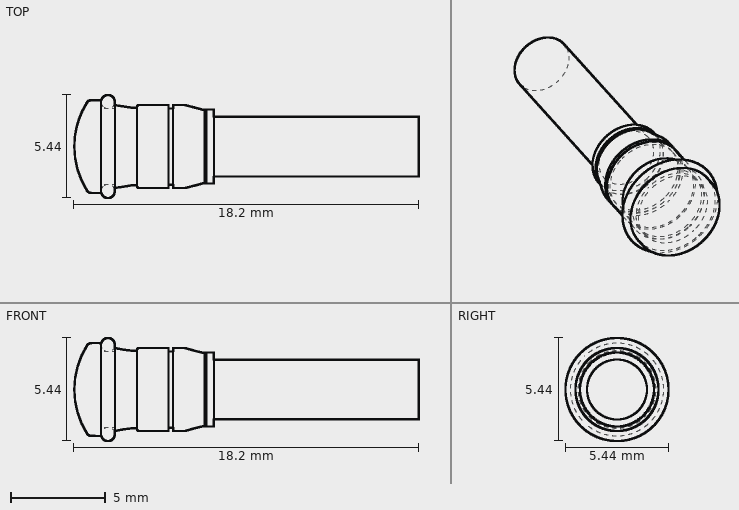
import cadquery as cq
import math

total_length = 18.16

ring_outer_radius = 2.72
ring_wire_radius = 0.36
ring_x = 1.78
ring_pitch_radius = ring_outer_radius - ring_wire_radius

head_radius = 2.45
dome_sphere_radius = 4.35
head_rim_fillet = 0.27
selection_margin = 0.09

ring_groove_start = ring_x - ring_wire_radius
ring_groove_end = ring_x + ring_wire_radius
ring_groove_radius = ring_pitch_radius - ring_wire_radius

neck_front_radius = 2.18
neck_edge_fillet = 0.07
neck_radius = 2.05
neck_taper_end = 3.03

barrel_radius = 2.2
barrel_start = 3.3
barrel_edge_fillet = 0.1
barrel_groove_start = 4.98
barrel_groove_end = 5.21
barrel_groove_radius = 2.02
barrel_end = 5.83

tail_radius = 1.92
collar_radius = 1.96
collar_start = 6.86
collar_chamfer_width = 0.1
plug_end = 7.35

rod_radius = 1.58


def dome_point(radius):
    """Point of the spherical dome at the given distance from the axis."""
    depth = dome_sphere_radius - math.sqrt(dome_sphere_radius**2 - radius**2)
    return (depth, radius)


def arc_fillet(profile, corner_x, corner_radius, size):
    """Quarter round from a radial wall onto a cylinder that runs towards +X."""
    bend = size * (1 - math.sqrt(0.5))
    return (
        profile.lineTo(corner_x, corner_radius - size)
        .threePointArc((corner_x + bend, corner_radius - bend), (corner_x + size, corner_radius))
    )


def make_plug():
    dome_rim = dome_point(head_radius)
    profile = (
        cq.Workplane("XY")
        .moveTo(0, 0)
        .threePointArc(dome_point(head_radius / 2), dome_rim)
        .lineTo(ring_groove_start, head_radius)
        .lineTo(ring_groove_start, ring_groove_radius)
        .lineTo(ring_groove_end, ring_groove_radius)
    )
    profile = arc_fillet(profile, ring_groove_end, neck_front_radius, neck_edge_fillet)
    profile = profile.lineTo(neck_taper_end, neck_radius).lineTo(barrel_start, neck_radius)
    profile = arc_fillet(profile, barrel_start, barrel_radius, barrel_edge_fillet)
    profile = (
        profile.lineTo(barrel_groove_start, barrel_radius)
        .lineTo(barrel_groove_start, barrel_groove_radius)
        .lineTo(barrel_groove_end, barrel_groove_radius)
        .lineTo(barrel_groove_end, barrel_radius)
        .lineTo(barrel_end, barrel_radius)
        .lineTo(collar_start, tail_radius)
        .lineTo(collar_start + collar_chamfer_width, collar_radius)
        .lineTo(plug_end, collar_radius)
        .lineTo(plug_end, 0)
        .close()
    )
    turned = profile.revolve(360, (0, 0, 0), (1, 0, 0))
    rim_edge = cq.selectors.BoxSelector(
        (dome_rim[0] - selection_margin, -head_radius, -head_radius),
        (dome_rim[0] + selection_margin, head_radius, head_radius),
    )
    return turned.edges("%CIRCLE").edges(rim_edge).fillet(head_rim_fillet)


def make_ring():
    return (
        cq.Workplane("XY")
        .center(ring_x, ring_pitch_radius)
        .circle(ring_wire_radius)
        .revolve(360, (0, -ring_pitch_radius, 0), (1, -ring_pitch_radius, 0))
    )


def make_rod():
    return cq.Workplane("YZ", origin=(plug_end, 0, 0)).circle(rod_radius).extrude(total_length - plug_end)


plug = make_plug()
ring = make_ring()
rod = make_rod()

result = cq.Compound.makeCompound([plug.val(), ring.val(), rod.val()])